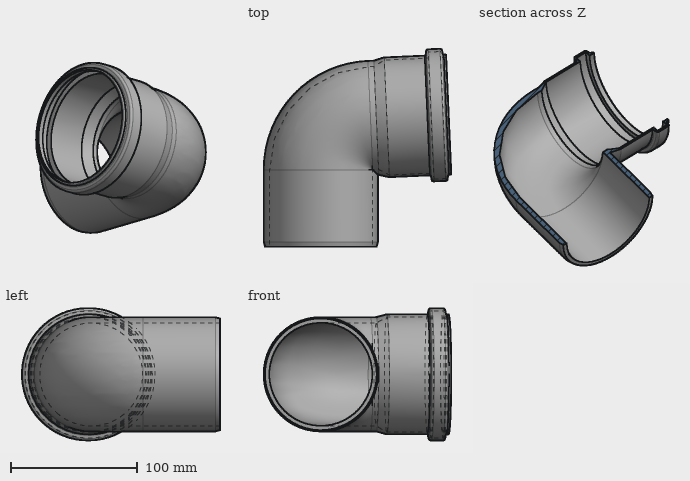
import cadquery as cq
import math


pipe_radius = 90.2 / 2
bore_radius = 81.2 / 2

spigot_length = 61.0
spigot_taper_length = 4.0
spigot_taper_depth = 1.1

bend_angle = 87.5
bend_radius = 40.72

socket_radius = 94.7 / 2
socket_bore_radius = 90.8 / 2
ring_radius = 104.5 / 2
ring_bore_radius = 100.3 / 2
lip_radius = 95.0 / 2

neck_end = 4.6
flare_end = 12.9
ring_start = 45.7
ring_end = 59.4
socket_length = 62.0

ring_flank_run = 0.6
ring_edge_fillet = 2.0
ring_foot_fillet = 0.8
lip_edge_fillet = 0.9
ring_wall = ring_radius - ring_bore_radius


def turned(points):
    """Solid of revolution about the Y axis from (radius, station) points."""
    return cq.Workplane("XY").polyline(points).close().revolve(360, (0, 0), (0, 1))


def place_on_bend_end(body):
    """Move a body turned about +Y from the start of the bend to its end."""
    return body.rotate((bend_radius, 0, 0), (bend_radius, 0, 1), -bend_angle)


def swung_round_pivot(section):
    """Revolve a section of the spigot end round the pivot axis, through the bend angle."""
    return section.revolve(bend_angle, (bend_radius, 0), (bend_radius, -1))


def bend_body():
    """Outer bend; the sliver of the round section beyond the pivot axis is left out."""
    half_chord = math.sqrt(pipe_radius**2 - bend_radius**2)
    section = (
        cq.Workplane("XZ")
        .moveTo(bend_radius, half_chord)
        .threePointArc((-pipe_radius, 0), (bend_radius, -half_chord))
        .close()
    )
    return swung_round_pivot(section)


def bend_bore():
    return swung_round_pivot(cq.Workplane("XZ").circle(bore_radius))


def spigot_body():
    return turned([
        (0, 0),
        (pipe_radius, 0),
        (pipe_radius, spigot_taper_length - spigot_length),
        (pipe_radius - spigot_taper_depth, -spigot_length),
        (0, -spigot_length),
    ])


def spigot_bore():
    return turned([(0, 0), (bore_radius, 0), (bore_radius, -spigot_length), (0, -spigot_length)])


def ring_edges(body, radius, station):
    """Circular edge of a turned body, picked by its radius and station."""
    tolerance = 0.01
    half_box = radius + tolerance
    in_plane = cq.selectors.BoxSelector(
        (-half_box, station - tolerance, -half_box), (half_box, station + tolerance, half_box))
    edges = [e for e in body.edges("%CIRCLE").edges(in_plane).vals() if abs(e.radius() - radius) < tolerance]
    return body.newObject(edges)


def socket_body():
    crest_start = ring_start + ring_flank_run
    crest_end = ring_end - ring_flank_run
    body = turned([
        (0, 0),
        (pipe_radius, 0),
        (pipe_radius, neck_end),
        (socket_radius, flare_end),
        (socket_radius, ring_start),
        (ring_radius, crest_start),
        (ring_radius, crest_end),
        (lip_radius, ring_end),
        (lip_radius, socket_length),
        (0, socket_length),
    ])
    for station in (crest_start, crest_end):
        body = ring_edges(body, ring_radius, station).fillet(ring_edge_fillet)
    body = ring_edges(body, socket_radius, ring_start).fillet(ring_foot_fillet)
    body = ring_edges(body, lip_radius, ring_end).fillet(ring_foot_fillet)
    return ring_edges(body, lip_radius, socket_length).fillet(lip_edge_fillet)


def socket_bore():
    groove_start = ring_start + ring_wall
    groove_end = ring_end - ring_wall
    return turned([
        (0, 0),
        (bore_radius, 0),
        (bore_radius, neck_end),
        (socket_bore_radius, flare_end),
        (socket_bore_radius, groove_start),
        (ring_bore_radius, groove_start),
        (ring_bore_radius, groove_end),
        (socket_bore_radius, groove_end),
        (socket_bore_radius, socket_length),
        (0, socket_length),
    ])


outside = bend_body().union(spigot_body()).union(place_on_bend_end(socket_body()))
inside = bend_bore().union(spigot_bore()).union(place_on_bend_end(socket_bore()))
result = outside.cut(inside)